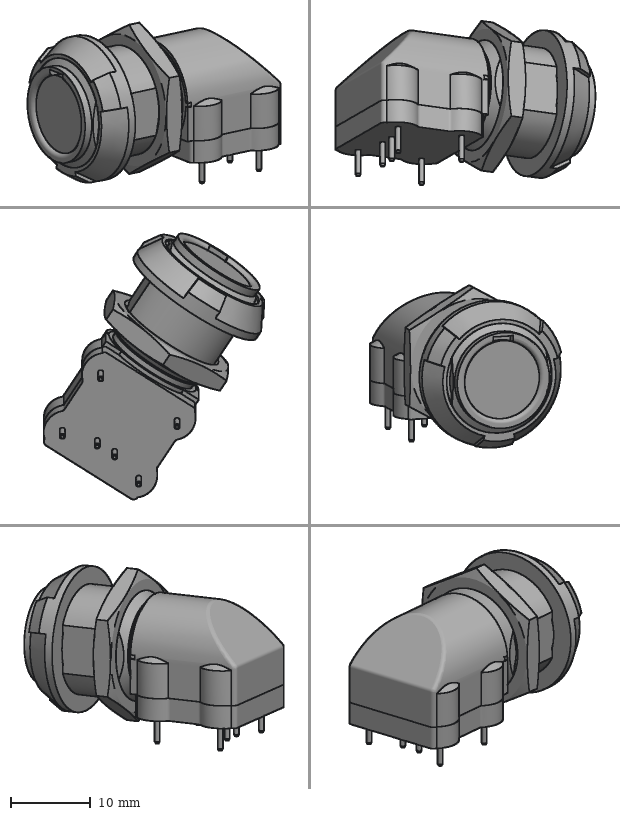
import cadquery as cq
import math

LENGTH = 30.2

SLEEVE_RADIUS = 7.0
BORE_RADIUS = 6.5
FLAT_HALF_WIDTH = 6.28
LIP_RADIUS = 6.13
LIP_LENGTH = 1.03
FRONT_CONE_LENGTH = 0.57
SOCKET_RADIUS = 4.98
SOCKET_DEPTH = 0.55
KEYWAY_WIDTH = 2.7
KEYWAY_TOP = 5.65
KEYWAY_DEPTH = 1.2
NECK_RADIUS = 5.92
NECK_GROOVE_RADIUS = 5.83
NECK_GROOVE_WIDTH = 0.18
COLLAR_RADIUS = 6.52
COLLAR_TAB_TOP = 0.45
COLLAR_TAB_BOTTOM = -0.1

NUT_FRONT = 10.93
NUT_THICKNESS = 2.48
NUT_ACROSS_FLATS = 17.0
NUT_BORE_CHAMFER_DEPTH = 0.3
NUT_CHAMFER_RADIUS = 8.43
NUT_CHAMFER_DEPTH = 0.45

RING_RADIUS = 9.255
RING_FRONT = 1.55
RING_BACK = 5.53
RING_COUNTERBORE_DEPTH = 0.3
RING_CONE_START = 4.5
RING_CONE_END_RADIUS = 7.52
LUG_CONE_START = 3.5
LUG_CONE_END_RADIUS = 8.05
LUG_COUNT = 3
LUG_ANGLE = 30.0

HOUSING_RADIUS = 6.95
HOUSING_FRONT = 15.4
HOUSING_BOTTOM = -4.6
SLOPE_FOOT_HEIGHT = 0.42
EDGE_FILLET = 0.57
BASE_FRONT = 15.98
BASE_BOTTOM = -7.52
BASE_FRONT_FILLET = 0.45
BOSS_RADIUS = 2.9
BOSS_REACH = 7.958
BOSS_TOP = -0.1
BOSS_CONE_ANGLE = 30.0
BOSS_BLEND = 0.57
REAR_BOSS_Y = 27.42
FRONT_BOSS_Y = 18.55

PIN_RADIUS = 0.347
PIN_TIP_RADIUS = 0.2
PIN_TIP_LENGTH = 0.27
GROUND_PIN_X = 5.7
GROUND_PIN_END = -10.87
CONTACT_X = 1.3
CONTACT_Y = 26.15
CONTACT_END = -10.6

NUT_BACK = NUT_FRONT + NUT_THICKNESS
RING_SEAT_FRONT = RING_FRONT + RING_COUNTERBORE_DEPTH
NUT_CORNER_RADIUS = NUT_ACROSS_FLATS / math.sqrt(3)
SLEEVE_FRONT = LIP_LENGTH + FRONT_CONE_LENGTH
REAR_CONE_BACK = NUT_BACK + SLEEVE_RADIUS - NECK_RADIUS
BOSS_X = BOSS_REACH - BOSS_RADIUS
BOSS_PLACES = [(side * BOSS_X, y) for side in (-1, 1) for y in (FRONT_BOSS_Y, REAR_BOSS_Y)]
GROUND_PIN_PLACES = [(side * GROUND_PIN_X, y) for side in (-1, 1) for y in (FRONT_BOSS_Y, REAR_BOSS_Y)]


def turned(profile, angle=360):
    """Revolve a (radius, Y) outline about the barrel axis."""
    return cq.Workplane("XY").polyline(profile).close().revolve(angle, (0, 0), (0, 1))


def barrel_cylinder(radius, front, back):
    return turned([(0, front), (radius, front), (radius, back), (0, back)])


def block(x_size, y_range, z_range):
    """A box centred on X = 0 between two Y and two Z values."""
    (front, back), (bottom, top) = y_range, z_range
    return cq.Workplane("XY").box(x_size, back - front, top - bottom, centered=(True, False, False)).translate(
        (0, front, bottom)
    )


def collar():
    """Disc at the back end of the sleeve, with side tabs that key it to the housing."""
    disc = barrel_cylinder(COLLAR_RADIUS, HOUSING_FRONT, BASE_FRONT)
    tabs = block(2 * HOUSING_RADIUS, (HOUSING_FRONT, BASE_FRONT), (COLLAR_TAB_BOTTOM, COLLAR_TAB_TOP))
    within_housing = barrel_cylinder(HOUSING_RADIUS, HOUSING_FRONT, BASE_FRONT)
    return disc.union(tabs.intersect(within_housing))


def make_sleeve():
    body = turned(
        [
            (0, 0),
            (LIP_RADIUS, 0),
            (LIP_RADIUS, LIP_LENGTH),
            (SLEEVE_RADIUS, SLEEVE_FRONT),
            (SLEEVE_RADIUS, RING_SEAT_FRONT),
            (BORE_RADIUS, RING_SEAT_FRONT),
            (BORE_RADIUS, RING_BACK),
            (SLEEVE_RADIUS, RING_BACK),
            (SLEEVE_RADIUS, NUT_FRONT),
            (BORE_RADIUS, NUT_FRONT + NUT_BORE_CHAMFER_DEPTH),
            (BORE_RADIUS, NUT_BACK - NUT_BORE_CHAMFER_DEPTH),
            (SLEEVE_RADIUS, NUT_BACK),
            (NECK_RADIUS, REAR_CONE_BACK),
            (NECK_GROOVE_RADIUS, REAR_CONE_BACK),
            (NECK_GROOVE_RADIUS, REAR_CONE_BACK + NECK_GROOVE_WIDTH),
            (NECK_RADIUS, REAR_CONE_BACK + NECK_GROOVE_WIDTH),
            (NECK_RADIUS, HOUSING_FRONT),
            (0, HOUSING_FRONT),
        ]
    )
    between_flats = block(2 * FLAT_HALF_WIDTH, (0, HOUSING_FRONT), (-SLEEVE_RADIUS, SLEEVE_RADIUS))
    body = body.intersect(between_flats)

    body = body.cut(barrel_cylinder(SOCKET_RADIUS, 0, SOCKET_DEPTH))
    mouth = (
        cq.Workplane("XY")
        .moveTo(SOCKET_RADIUS, 0)
        .lineTo(SOCKET_RADIUS + SOCKET_DEPTH, 0)
        .radiusArc((SOCKET_RADIUS, SOCKET_DEPTH), SOCKET_DEPTH)
        .close()
        .revolve(360, (0, 0), (0, 1))
    )
    body = body.cut(mouth)

    keyway = block(KEYWAY_WIDTH, (0, KEYWAY_DEPTH), (0, KEYWAY_TOP))
    body = body.cut(keyway.cut(barrel_cylinder(SOCKET_RADIUS, 0, KEYWAY_DEPTH)))
    return body.union(collar())


def make_nut():
    hexagon = (
        cq.Workplane("XZ")
        .polygon(6, 2 * NUT_CORNER_RADIUS)
        .extrude(-NUT_THICKNESS)
        .rotate((0, 0, 0), (0, 1, 0), 30)
        .translate((0, NUT_FRONT, 0))
    )
    chamfers = turned(
        [
            (0, NUT_FRONT),
            (NUT_CHAMFER_RADIUS, NUT_FRONT),
            (NUT_CORNER_RADIUS, NUT_FRONT + NUT_CHAMFER_DEPTH),
            (NUT_CORNER_RADIUS, NUT_BACK - NUT_CHAMFER_DEPTH),
            (NUT_CHAMFER_RADIUS, NUT_BACK),
            (0, NUT_BACK),
        ]
    )
    bore = turned(
        [
            (0, NUT_FRONT),
            (SLEEVE_RADIUS, NUT_FRONT),
            (BORE_RADIUS, NUT_FRONT + NUT_BORE_CHAMFER_DEPTH),
            (BORE_RADIUS, NUT_BACK - NUT_BORE_CHAMFER_DEPTH),
            (SLEEVE_RADIUS, NUT_BACK),
            (0, NUT_BACK),
        ]
    )
    return hexagon.intersect(chamfers).cut(bore)


def make_ring():
    ring = turned(
        [
            (SLEEVE_RADIUS, RING_FRONT),
            (LUG_CONE_END_RADIUS, RING_FRONT),
            (RING_RADIUS, LUG_CONE_START),
            (RING_RADIUS, RING_BACK),
            (BORE_RADIUS, RING_BACK),
            (BORE_RADIUS, RING_SEAT_FRONT),
            (SLEEVE_RADIUS, RING_SEAT_FRONT),
        ]
    )
    clear_radius = 2 * RING_RADIUS
    gap_angle = 360 / LUG_COUNT - LUG_ANGLE
    gap = turned(
        [
            (RING_CONE_END_RADIUS, RING_FRONT),
            (clear_radius, RING_FRONT),
            (clear_radius, RING_CONE_START),
            (RING_RADIUS, RING_CONE_START),
        ],
        gap_angle,
    )
    first_gap = gap.rotate((0, 0, 0), (0, 1, 0), -90 - gap_angle / 2)
    for index in range(LUG_COUNT):
        ring = ring.cut(first_gap.rotate((0, 0, 0), (0, 1, 0), index * 360 / LUG_COUNT))
    return ring


def boss_columns(bottom, top):
    columns = cq.Workplane("XY", origin=(0, 0, bottom)).pushPoints(BOSS_PLACES).circle(BOSS_RADIUS).extrude(top - bottom)
    return columns.intersect(block(2 * BOSS_REACH, (0, LENGTH), (bottom, top)))


def boss_cones():
    height = BOSS_RADIUS * math.tan(math.radians(BOSS_CONE_ANGLE))
    cone = cq.Solid.makeCone(BOSS_RADIUS, 0, height)
    cones = cq.Workplane("XY", origin=(0, 0, BOSS_TOP)).pushPoints(BOSS_PLACES).eachpoint(cone)
    return cones.intersect(block(2 * BOSS_REACH, (0, LENGTH), (BOSS_TOP, BOSS_TOP + height)))


def make_housing():
    length = LENGTH - HOUSING_FRONT
    shell = (
        cq.Workplane("XZ", origin=(0, HOUSING_FRONT, 0))
        .moveTo(-HOUSING_RADIUS, HOUSING_BOTTOM)
        .lineTo(-HOUSING_RADIUS, 0)
        .threePointArc((0, HOUSING_RADIUS), (HOUSING_RADIUS, 0))
        .lineTo(HOUSING_RADIUS, HOUSING_BOTTOM)
        .close()
        .extrude(-length)
    )
    slope_run = HOUSING_RADIUS - SLOPE_FOOT_HEIGHT
    corner = (
        cq.Workplane("YZ")
        .polyline(
            [
                (LENGTH, SLOPE_FOOT_HEIGHT),
                (LENGTH, HOUSING_RADIUS),
                (LENGTH - slope_run, HOUSING_RADIUS),
            ]
        )
        .close()
        .extrude(HOUSING_RADIUS, both=True)
    )
    shell = shell.cut(corner)
    rear_edges = shell.faces(">Y").edges("not <Z")
    slope_edges = shell.faces(cq.selectors.DirectionNthSelector(cq.Vector(0, 1, 1), -1)).edges()
    shell = shell.newObject(rear_edges.vals() + slope_edges.vals()).fillet(EDGE_FILLET)
    bosses = boss_columns(HOUSING_BOTTOM, BOSS_TOP).union(boss_cones())
    return shell.union(bosses).cut(collar())


def make_base():
    height = HOUSING_BOTTOM - BASE_BOTTOM
    base = block(2 * HOUSING_RADIUS, (BASE_FRONT, LENGTH), (BASE_BOTTOM, HOUSING_BOTTOM))
    base = base.edges("|Z and >Y").fillet(EDGE_FILLET)
    base = base.edges("|Z and <Y").fillet(BASE_FRONT_FILLET)
    bosses = boss_columns(BASE_BOTTOM, HOUSING_BOTTOM)
    base = base.union(bosses.intersect(block(2 * BOSS_REACH, (BASE_FRONT, LENGTH), (BASE_BOTTOM, HOUSING_BOTTOM))))
    half_chord = math.sqrt(BOSS_RADIUS**2 - (HOUSING_RADIUS - BOSS_X) ** 2)
    for side in (-1, 1):
        for y in (FRONT_BOSS_Y + half_chord, REAR_BOSS_Y - half_chord):
            corner = (side * HOUSING_RADIUS, y, (BASE_BOTTOM + HOUSING_BOTTOM) / 2)
            base = base.edges(cq.selectors.NearestToPointSelector(corner)).fillet(BOSS_BLEND)
    return base


def make_pin(x, y, end):
    """A round pin that hangs from the underside of the base."""
    shank_end = end + PIN_TIP_LENGTH
    outline = [
        (0, BASE_BOTTOM),
        (PIN_RADIUS, BASE_BOTTOM),
        (PIN_RADIUS, shank_end),
        (PIN_TIP_RADIUS, end),
        (0, end),
    ]
    pin = cq.Workplane("XZ").polyline(outline).close().revolve(360, (0, 0), (0, 1))
    return pin.translate((x, y, 0))


sleeve = make_sleeve()
nut = make_nut()
ring = make_ring()
housing = make_housing()
base = make_base()
for side in (-1, 1):
    base = base.union(make_pin(side * CONTACT_X, CONTACT_Y, CONTACT_END))
ground_pins = [make_pin(x, y, GROUND_PIN_END).val() for x, y in GROUND_PIN_PLACES]

result = cq.Compound.makeCompound(
    [sleeve.val(), nut.val(), ring.val(), housing.val(), base.val(), *ground_pins]
)